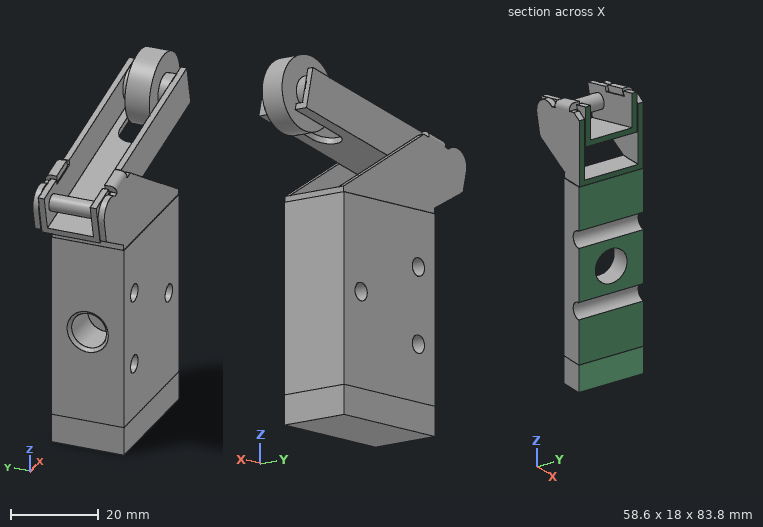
import cadquery as cq
import math

BODY_LENGTH = 31.95
BODY_WIDTH = 18.0
BODY_TOP = 52.0
CAP_HEIGHT = 7.05
HOLE_DIAMETER = 4.3
PORT_Z = 29.6
HOLE_PITCH = BODY_WIDTH
NEAR_HOLE_X = 5.95
FAR_HOLE_X = 26.0
PORT_DIAMETER = 8.6
PORT_MOUTH_DIAMETER = 10.2
PORT_CHAMFER = (PORT_MOUTH_DIAMETER - PORT_DIAMETER) / 2
PORT_DEPTH = 10.1

SHEET = 1.5
LEVER_ANGLE = 13.0
LEVER_LENGTH = 54.1
LEVER_DEPTH = 10.0
LEVER_WIDTH = 14.4
LEVER_INNER_WIDTH = LEVER_WIDTH - 2 * SHEET
LEVER_CORNER_X = -11.9
LEVER_CORNER_Z = 67.6
FLOOR_SLOT_WIDTH = 7.6
FLOOR_SLOT_START = 34.8
NOTCH_START = 7.4
NOTCH_END = 14.8
NOTCH_DEPTH = 1.25

PIN_DIAMETER = 4.0
PIN_INSET = 3.9

BRACKET_INNER_WIDTH = 14.75
BRACKET_WIDTH = BRACKET_INNER_WIDTH + 2 * SHEET
BASE_THICKNESS = 1.3
BASE_TOP = BODY_TOP + BASE_THICKNESS
EAR_RADIUS = 4.0
EAR_DEPTH = 9.2
EDGE_END = 15.9
TAB_START = 8.1
TAB_END = 14.2
TAB_RISE = 0.4
TAB_INNER_WIDTH = 11.9
TAB_BEND_RADIUS = 1.5

ROLLER_DIAMETER = 18.0
ROLLER_WIDTH = 6.0
HUB_DIAMETER = 8.0
ROLLER_FAR_X = 46.7
ROLLER_X = ROLLER_FAR_X - ROLLER_DIAMETER / 2
TOTAL_HEIGHT = 83.8
ROLLER_Z = TOTAL_HEIGHT - ROLLER_DIAMETER / 2


def tilted_point(along, below):
    """X and Z of a point given along the lever and below its top edge."""
    angle = math.radians(LEVER_ANGLE)
    return (
        LEVER_CORNER_X + along * math.cos(angle) + below * math.sin(angle),
        LEVER_CORNER_Z + along * math.sin(angle) - below * math.cos(angle),
    )


def tilt_into_place(shape):
    """Move a shape from lever coordinates (X along, Z up from the top edge) to the part."""
    tilted = shape.rotate((0, 0, 0), (0, 1, 0), -LEVER_ANGLE)
    return tilted.translate((LEVER_CORNER_X, 0, LEVER_CORNER_Z))


def cross_cylinder(x, z, diameter, width):
    """Cylinder along Y, centred on Y = 0."""
    circle = cq.Workplane("XZ", origin=(x, width / 2, z)).circle(diameter / 2)
    return circle.extrude(width)


def box_between(x_start, x_end, width, z_start, z_end):
    """Box centred on Y = 0, between the given X and Z limits."""
    box = cq.Workplane("XY").box(x_end - x_start, width, z_end - z_start, centered=(False, True, False))
    return box.translate((x_start, 0, z_start))


def make_cap():
    return box_between(0, BODY_LENGTH, BODY_WIDTH, 0, CAP_HEIGHT)


def make_body():
    body = box_between(0, BODY_LENGTH, BODY_WIDTH, CAP_HEIGHT, BODY_TOP)
    hole_places = [
        (NEAR_HOLE_X, PORT_Z + HOLE_PITCH / 2),
        (NEAR_HOLE_X, PORT_Z - HOLE_PITCH / 2),
        (FAR_HOLE_X, PORT_Z),
    ]
    for x, z in hole_places:
        body = body.cut(cross_cylinder(x, z, HOLE_DIAMETER, BODY_WIDTH))
    port = cq.Workplane("YZ").center(0, PORT_Z).circle(PORT_DIAMETER / 2).extrude(PORT_DEPTH)
    mouth = cq.Solid.makeCone(
        PORT_MOUTH_DIAMETER / 2, PORT_DIAMETER / 2, PORT_CHAMFER,
        pnt=cq.Vector(0, 0, PORT_Z), dir=cq.Vector(1, 0, 0),
    )
    return body.cut(port).cut(cq.Workplane(mouth))


def make_tabs():
    """Tabs bent inward from the side plates through the lever notches."""
    tabs = box_between(TAB_START, TAB_END, BRACKET_WIDTH, -NOTCH_DEPTH, TAB_RISE)
    tabs = tabs.edges("|X and >Z").fillet(TAB_BEND_RADIUS)
    gap = box_between(TAB_START, TAB_END, TAB_INNER_WIDTH, -NOTCH_DEPTH, TAB_RISE)
    return tilt_into_place(tabs.cut(gap))


def make_bracket():
    ear_drop = PIN_INSET - NOTCH_DEPTH
    ear_end = PIN_INSET + math.sqrt(EAR_RADIUS**2 - ear_drop**2)
    ear_back = PIN_INSET - EAR_RADIUS
    ear_diagonal = EAR_RADIUS / math.sqrt(2)
    bracket = (
        cq.Workplane("XZ", origin=(0, BRACKET_WIDTH / 2, 0))
        .moveTo(0, BODY_TOP)
        .lineTo(0, BASE_TOP)
        .lineTo(*tilted_point(ear_back, EAR_DEPTH))
        .lineTo(*tilted_point(ear_back, PIN_INSET))
        .threePointArc(
            tilted_point(PIN_INSET - ear_diagonal, PIN_INSET - ear_diagonal),
            tilted_point(ear_end, NOTCH_DEPTH),
        )
        .lineTo(*tilted_point(EDGE_END, NOTCH_DEPTH))
        .lineTo(BODY_LENGTH, BASE_TOP)
        .lineTo(BODY_LENGTH, BODY_TOP)
        .close()
        .extrude(BRACKET_WIDTH)
    )
    channel = box_between(-BODY_LENGTH, BODY_LENGTH, BRACKET_INNER_WIDTH, BASE_TOP, TOTAL_HEIGHT)
    return bracket.cut(channel).union(make_tabs())


def make_lever():
    lever = box_between(0, LEVER_LENGTH, LEVER_WIDTH, -LEVER_DEPTH, 0)
    lever = lever.cut(box_between(0, LEVER_LENGTH, LEVER_INNER_WIDTH, SHEET - LEVER_DEPTH, 0))
    lever = lever.cut(box_between(NOTCH_START, NOTCH_END, LEVER_WIDTH, -NOTCH_DEPTH, 0))
    slot_centre = FLOOR_SLOT_START + FLOOR_SLOT_WIDTH / 2
    slot = box_between(slot_centre, LEVER_LENGTH, FLOOR_SLOT_WIDTH, -LEVER_DEPTH, 0)
    slot_end = cq.Workplane("XY").center(slot_centre, 0).circle(FLOOR_SLOT_WIDTH / 2).extrude(-LEVER_DEPTH)
    return tilt_into_place(lever.cut(slot).cut(slot_end))


def make_pin(width):
    return cross_cylinder(*tilted_point(PIN_INSET, PIN_INSET), PIN_DIAMETER, width)


def make_roller():
    roller = cross_cylinder(ROLLER_X, ROLLER_Z, ROLLER_DIAMETER, ROLLER_WIDTH)
    return roller.union(cross_cylinder(ROLLER_X, ROLLER_Z, HUB_DIAMETER, LEVER_INNER_WIDTH))


def make_head():
    """Bracket, lever, pin and roller, joined as one solid."""
    head = make_bracket().union(make_lever())
    return head.union(make_pin(BRACKET_INNER_WIDTH)).union(make_roller())


cap = make_cap()
body = make_body()
head = make_head()
result = cq.Compound.makeCompound([cap.val(), body.val(), head.val()])